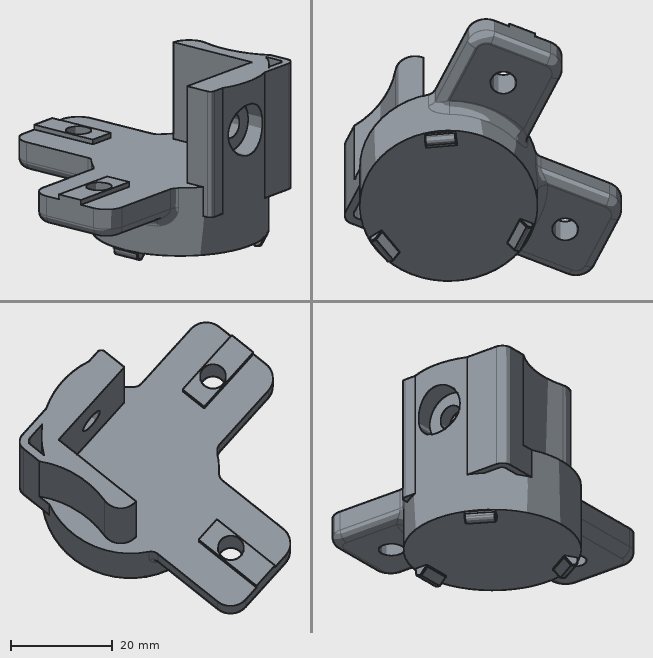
import cadquery as cq
import math


TOLERANCE = 0.005

BASE_DIAMETER = 35.0
BASE_RADIUS = BASE_DIAMETER / 2
BASE_HEIGHT = 14.1
BASE_X = -0.1
BASE_Y = 0.1

ARM_WIDTH = 20.0
HALF_WIDTH = ARM_WIDTH / 2
ARM_THICKNESS = 6.0
X_ARM_LENGTH = 35.0
Y_ARM_LENGTH = 34.15
ARM_CORNER_RADIUS = 4.0
ARM_EDGE_RADIUS = 2.0
JOINT_RADIUS = 2.0

RIDGE_LENGTH = 15.0
RIDGE_WIDTH = 5.6
RIDGE_HEIGHT = 1.0
HOLE_DIAMETER = 5.1
HOLE_FROM_TIP = 9.0

WALL_HEIGHT = 20.0
WALL_OUTER_X = 16.15
WALL_OUTER_Y = 15.95
WALL_SKIN = 1.55
WALL_CORNER_RADIUS = 2.0
POCKET_CORNER_RADIUS = 1.0
WALL_END_RADIUS = 1.0
HOLLOW_DEPTH = 2.7
HOLLOW_END_RADIUS = 3.95
COUNTERBORE_DIAMETER = 10.5
COUNTERBORE_SEAT = 13.0

TAB_COUNT = 3
TAB_FIRST_ANGLE = 30
TAB_WIDTH = 6.2
TAB_HEIGHT = 1.9
TAB_LIP = 0.35
TAB_FLARE = 0.15
TAB_INNER_RADIUS = 14.05
TAB_OUTER_RADIUS = 16.9
TAB_TIP_INNER = 15.5
TAB_TIP_OUTER = 15.95
TAB_END_CHAMFER = 0.2


def make_arm(length):
    """Arm reaching from the origin along -X, rounded at the tip and along its lower edges."""
    arm = (
        cq.Workplane("XY")
        .box(length, ARM_WIDTH, ARM_THICKNESS, centered=(False, True, False))
        .translate((-length, 0, -ARM_THICKNESS))
    )
    arm = arm.edges("|Z and <X").fillet(ARM_CORNER_RADIUS)
    lower_rim = arm.faces("<Z").edges("not >X")
    return lower_rim.fillet(ARM_EDGE_RADIUS)


def make_ridge(length):
    return (
        cq.Workplane("XY")
        .box(RIDGE_LENGTH, RIDGE_WIDTH, RIDGE_HEIGHT, centered=(False, True, False))
        .translate((-length, 0, 0))
    )


def make_arm_hole(length):
    return (
        cq.Workplane("XY", origin=(HOLE_FROM_TIP - length, 0, -ARM_THICKNESS))
        .circle(HOLE_DIAMETER / 2)
        .extrude(ARM_THICKNESS + RIDGE_HEIGHT)
    )


def turn_to_y_arm(shape):
    """Swing a shape on the -X arm round to the -Y arm."""
    return shape.rotate((0, 0, 0), (0, 0, 1), 90)


def make_cylinder(bottom, top):
    return (
        cq.Workplane("XY", origin=(BASE_X, BASE_Y, bottom))
        .circle(BASE_RADIUS)
        .extrude(top - bottom)
    )


def is_joint(edge):
    """True for the edges where the arms run into the side of the base."""
    middle = edge.positionAt(0.5)
    radii = [math.hypot(p.x - BASE_X, p.y - BASE_Y) for p in edge.positions([0, 0.25, 0.5, 0.75, 1])]
    on_side = all(abs(radius - BASE_RADIUS) < TOLERANCE for radius in radii)
    return on_side and -ARM_THICKNESS - TOLERANCE < middle.z < -TOLERANCE


def make_base():
    base = make_cylinder(-BASE_HEIGHT, 0)
    base = base.union(make_arm(X_ARM_LENGTH))
    base = base.union(turn_to_y_arm(make_arm(Y_ARM_LENGTH)))
    joints = [edge for edge in base.edges().vals() if is_joint(edge)]
    return base.newObject(joints).fillet(JOINT_RADIUS)


def make_upright():
    """L-shaped wall; the base cylinder bulges through +X and +Y is swept concave."""
    upright = (
        cq.Workplane("XY")
        .moveTo(-HALF_WIDTH, HALF_WIDTH)
        .lineTo(-HALF_WIDTH, WALL_OUTER_Y)
        .threePointArc((0, WALL_OUTER_Y - HOLLOW_DEPTH), (HALF_WIDTH, WALL_OUTER_Y))
        .lineTo(WALL_OUTER_X, WALL_OUTER_Y)
        .lineTo(WALL_OUTER_X, -HALF_WIDTH)
        .lineTo(HALF_WIDTH, -HALF_WIDTH)
        .lineTo(HALF_WIDTH, HALF_WIDTH)
        .close()
        .extrude(WALL_HEIGHT)
    )
    upright = upright.edges("|Z and <X and >Y").fillet(HOLLOW_END_RADIUS)
    upright = upright.edges("|Z and >X and >Y").fillet(WALL_CORNER_RADIUS)
    upright = upright.edges("|Z and >X and <Y").fillet(WALL_END_RADIUS)
    bulge_limits = (
        cq.Workplane("XY")
        .box(BASE_RADIUS, ARM_WIDTH, WALL_HEIGHT, centered=(False, True, False))
        .translate((HALF_WIDTH, 0, 0))
    )
    return upright.union(make_cylinder(0, WALL_HEIGHT).intersect(bulge_limits))


def make_corner_skirt():
    """Part of the outer corner that continues down beside the base."""
    skirt = (
        cq.Workplane("XY")
        .box(WALL_OUTER_X, WALL_OUTER_Y + HALF_WIDTH, ARM_THICKNESS, centered=False)
        .translate((0, -HALF_WIDTH, -ARM_THICKNESS))
    )
    skirt = skirt.edges("|Z and >X and >Y").fillet(WALL_CORNER_RADIUS)
    return skirt.edges("|Z and >X and <Y").fillet(WALL_END_RADIUS)


def make_corner_pocket():
    """Open shaft between the round base and the skin of the outer corner."""
    inside_x = WALL_OUTER_X - WALL_SKIN
    inside_y = WALL_OUTER_Y - WALL_SKIN
    height = WALL_HEIGHT + ARM_THICKNESS
    shaft = (
        cq.Workplane("XY")
        .box(inside_x, inside_y, height, centered=False)
        .translate((0, 0, -ARM_THICKNESS))
    )
    shaft = shaft.edges("|Z and >X and >Y").fillet(POCKET_CORNER_RADIUS)
    return shaft.cut(make_cylinder(-ARM_THICKNESS, WALL_HEIGHT))


def make_wall_hole():
    """Counterbored screw hole through the +X wall."""
    start = cq.Workplane("YZ", origin=(0, 0, WALL_HEIGHT / 2))
    hole = start.circle(HOLE_DIAMETER / 2).extrude(BASE_RADIUS)
    seat = start.workplane(offset=COUNTERBORE_SEAT)
    counterbore = seat.circle(COUNTERBORE_DIAMETER / 2).extrude(BASE_RADIUS)
    return hole.union(counterbore)


def make_tab():
    """Bayonet tab on the +X side: a straight lug with a sloped inner face on a flared root."""
    root = (
        cq.Workplane("XZ")
        .moveTo(TAB_INNER_RADIUS, 0)
        .lineTo(TAB_OUTER_RADIUS + TAB_FLARE, 0)
        .lineTo(TAB_OUTER_RADIUS, -TAB_LIP)
        .lineTo(TAB_INNER_RADIUS, -TAB_LIP)
        .close()
        .extrude(TAB_WIDTH / 2, both=True)
    )
    rounding = TAB_OUTER_RADIUS - TAB_TIP_OUTER
    lug = (
        cq.Workplane("XZ")
        .moveTo(TAB_INNER_RADIUS, -TAB_LIP)
        .lineTo(TAB_OUTER_RADIUS, -TAB_LIP)
        .lineTo(TAB_OUTER_RADIUS, rounding - TAB_HEIGHT)
        .tangentArcPoint((TAB_TIP_OUTER, -TAB_HEIGHT), relative=False)
        .lineTo(TAB_TIP_INNER, -TAB_HEIGHT)
        .close()
        .extrude(TAB_WIDTH / 2, both=True)
    )
    lug = lug.faces("|Y").edges("not >Z").chamfer(TAB_END_CHAMFER)
    return root.union(lug).translate((BASE_X, BASE_Y, -BASE_HEIGHT))


result = make_base().union(make_upright()).union(make_corner_skirt())

result = result.union(make_ridge(X_ARM_LENGTH))
result = result.union(turn_to_y_arm(make_ridge(Y_ARM_LENGTH)))

result = result.cut(make_arm_hole(X_ARM_LENGTH))
result = result.cut(turn_to_y_arm(make_arm_hole(Y_ARM_LENGTH)))
result = result.cut(make_wall_hole())
result = result.cut(make_corner_pocket())

for index in range(TAB_COUNT):
    angle = TAB_FIRST_ANGLE + index * 360 / TAB_COUNT
    result = result.union(make_tab().rotate((BASE_X, BASE_Y, 0), (BASE_X, BASE_Y, 1), angle))